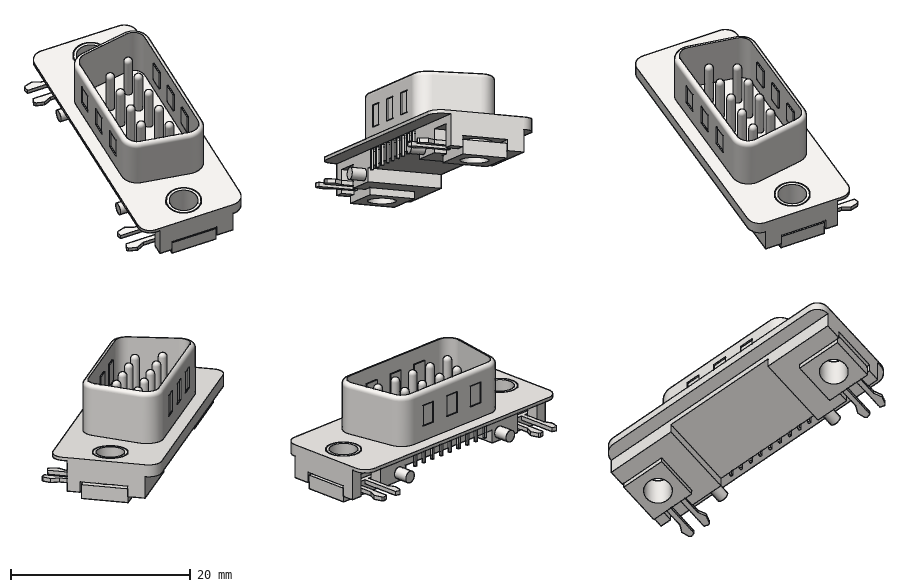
import cadquery as cq
import math


OVERALL_DEPTH = 13.8
OVERALL_HEIGHT = 10.8

FLANGE_LENGTH = 30.8
FLANGE_DEPTH = 12.5
FLANGE_THICKNESS = 0.4
FLANGE_CORNER_RADIUS = 1.5
REAR_LIP_HEIGHT = 1.42

BLOCK_REAR_Y = FLANGE_DEPTH / 2 - FLANGE_CORNER_RADIUS
BLOCK_FRONT_Y = -4.22
BLOCK_END_BOTTOM_Z = -4.0
BLOCK_MIDDLE_BOTTOM_Z = -2.43
BLOCK_GAP_HALF_WIDTH = 6.9

SHROUD_HEIGHT = 6.0
SHROUD_DEPTH = 9.45
SHROUD_CORNER_RADIUS = 1.95
SHROUD_REAR_FLAT = 14.2
SHROUD_WALL = 0.55
SHROUD_RIM_FILLET = SHROUD_WALL
SHROUD_SIDE_ANGLE = 10.0

DIMPLE_WIDTH = 1.65
DIMPLE_BOTTOM_Z = 1.75
DIMPLE_HEIGHT = 2.5
DIMPLE_COUNT = 3
DIMPLE_PITCH = 3.8
DIMPLE_DEPTH = 0.15

MOUNT_OFFSET_X = 12.5
BORE_DIAMETER = 3.2
BUSHING_DIAMETER = 3.85
COLLAR_DIAMETER = 4.0

LOCK_WIDTH = 5.4
LOCK_REAR_Y = 2.75
LOCK_FRONT_Y = -2.65
LOCK_TOP_Z = -3.15
LOCK_BOTTOM_Z = SHROUD_HEIGHT - OVERALL_HEIGHT
CAVITY_DEPTH = 2 * LOCK_REAR_Y
CAVITY_TOP_Z = -2.75
POCKET_WIDTH = 3.08
POCKET_TOP_Z = -1.3

TINE_THICKNESS = 0.5
TINE_TIP_Y = FLANGE_DEPTH / 2 - OVERALL_DEPTH
TINE_INNER_X = 0.7
TINE_ARM_X = 1.3
TINE_BARB_X = 1.72
TINE_SHOULDER_X = 1.45
TINE_TIP_X = 1.25
TINE_BARB_START_Y = -5.5
TINE_BARB_PEAK_Y = -6.45
TINE_TIP_BEVEL = 0.15

PEG_DIAMETER = 1.4
PEG_OFFSET_X = 8.0
PEG_Z = -3.0
PEG_END_Y = -5.98

PIN_DIAMETER = 1.0
PIN_TOP_Z = 5.3
PIN_PITCH = 2.77
PIN_ROW_OFFSET_Y = 1.42
REAR_ROW_COUNT = 5
FRONT_ROW_COUNT = 4
TAIL_SIZE = 0.28
TAIL_TOP_Z = -0.55
TAIL_BOTTOM_Z = -2.9


def box(x_range, y_range, z_range):
    """Axis-aligned box between the given limits."""
    size = [high - low for low, high in (x_range, y_range, z_range)]
    corner = (x_range[0], y_range[0], z_range[0])
    return cq.Workplane("XY").box(*size, centered=False).translate(corner)


def centred(count, pitch):
    """Positions of `count` items at equal pitch, centred on zero."""
    return [(i - (count - 1) / 2) * pitch for i in range(count)]


def both_ends(feature):
    """A feature at the -X end together with its mirror image at the +X end."""
    return feature.union(feature.mirror("YZ"))


def make_flange():
    """Rounded plate, thickened along its rear edge into a lip."""
    plate = (
        cq.Workplane("XY")
        .rect(FLANGE_LENGTH, FLANGE_DEPTH)
        .extrude(-REAR_LIP_HEIGHT)
        .edges("|Z")
        .fillet(FLANGE_CORNER_RADIUS)
    )
    below_plate = box(
        (-FLANGE_LENGTH / 2, FLANGE_LENGTH / 2),
        (-FLANGE_DEPTH / 2, BLOCK_REAR_Y),
        (-REAR_LIP_HEIGHT, -FLANGE_THICKNESS),
    )
    return plate.cut(below_plate)


def make_block():
    """Insulator block, raised underneath between its two ends."""
    block_y = (BLOCK_FRONT_Y, BLOCK_REAR_Y)
    block = box((-FLANGE_LENGTH / 2, FLANGE_LENGTH / 2), block_y, (BLOCK_END_BOTTOM_Z, 0))
    gap = box(
        (-BLOCK_GAP_HALF_WIDTH, BLOCK_GAP_HALF_WIDTH),
        block_y,
        (BLOCK_END_BOTTOM_Z, BLOCK_MIDDLE_BOTTOM_Z),
    )
    return block.cut(gap)


def d_prism(inset, height):
    """Prism on the shroud's D outline, moved inward by `inset`."""
    radius = SHROUD_CORNER_RADIUS - inset
    slant = math.radians(SHROUD_SIDE_ANGLE)
    centre_y = SHROUD_DEPTH / 2 - SHROUD_CORNER_RADIUS
    rear_x = SHROUD_REAR_FLAT / 2
    front_x = rear_x - 2 * centre_y * math.tan(slant)

    def on_corner(x, y, angle):
        return (x + radius * math.cos(angle), y + radius * math.sin(angle))

    right_angle = math.pi / 2
    rear_middle = (right_angle - slant) / 2
    front_middle = -(right_angle + slant) / 2
    return (
        cq.Workplane("XY")
        .moveTo(-rear_x, centre_y + radius)
        .lineTo(rear_x, centre_y + radius)
        .threePointArc(on_corner(rear_x, centre_y, rear_middle), on_corner(rear_x, centre_y, -slant))
        .lineTo(*on_corner(front_x, -centre_y, -slant))
        .threePointArc(
            on_corner(front_x, -centre_y, front_middle),
            on_corner(front_x, -centre_y, -right_angle),
        )
        .lineTo(-front_x, -centre_y - radius)
        .threePointArc(
            on_corner(-front_x, -centre_y, math.pi - front_middle),
            on_corner(-front_x, -centre_y, math.pi + slant),
        )
        .lineTo(*on_corner(-rear_x, centre_y, math.pi + slant))
        .threePointArc(
            on_corner(-rear_x, centre_y, math.pi - rear_middle),
            (-rear_x, centre_y + radius),
        )
        .close()
        .extrude(height)
    )


def make_shroud():
    """Hollow D shroud with a rounded outer rim and dimpled long walls."""
    shroud = d_prism(0, SHROUD_HEIGHT).faces(">Z").edges().fillet(SHROUD_RIM_FILLET)
    shroud = shroud.cut(d_prism(SHROUD_WALL, SHROUD_HEIGHT))

    outer_y = SHROUD_DEPTH / 2
    inner_y = outer_y - SHROUD_WALL
    dimple_z = (DIMPLE_BOTTOM_Z, DIMPLE_BOTTOM_Z + DIMPLE_HEIGHT)
    for x in centred(DIMPLE_COUNT, DIMPLE_PITCH):
        dimple_x = (x - DIMPLE_WIDTH / 2, x + DIMPLE_WIDTH / 2)
        bump = box(dimple_x, (inner_y - DIMPLE_DEPTH, inner_y), dimple_z)
        recess = box(dimple_x, (outer_y - DIMPLE_DEPTH, outer_y), dimple_z)
        shroud = shroud.union(bump).union(bump.mirror("XZ"))
        shroud = shroud.cut(recess).cut(recess.mirror("XZ"))
    return shroud


def make_lock_space():
    """Cavity for one board lock, open outward, below and through a front pocket."""
    cavity = box(
        (-FLANGE_LENGTH / 2, -MOUNT_OFFSET_X + LOCK_WIDTH / 2),
        (-CAVITY_DEPTH / 2, CAVITY_DEPTH / 2),
        (BLOCK_END_BOTTOM_Z, CAVITY_TOP_Z),
    )
    pocket = box(
        (-MOUNT_OFFSET_X - POCKET_WIDTH / 2, -MOUNT_OFFSET_X + POCKET_WIDTH / 2),
        (BLOCK_FRONT_Y, -CAVITY_DEPTH / 2),
        (BLOCK_END_BOTTOM_Z, POCKET_TOP_Z),
    )
    return cavity.union(pocket)


def make_tine():
    """Barbed tine on the +X side of a board lock that is centred on X = 0."""
    return (
        cq.Workplane("XY", origin=(0, 0, LOCK_TOP_Z))
        .polyline(
            [
                (TINE_INNER_X, LOCK_FRONT_Y),
                (TINE_ARM_X, LOCK_FRONT_Y),
                (TINE_ARM_X, TINE_BARB_START_Y),
                (TINE_BARB_X, TINE_BARB_PEAK_Y),
                (TINE_SHOULDER_X, TINE_TIP_Y + TINE_TIP_BEVEL),
                (TINE_TIP_X, TINE_TIP_Y),
                (TINE_INNER_X, TINE_TIP_Y + TINE_TIP_BEVEL),
            ]
        )
        .close()
        .extrude(-TINE_THICKNESS)
    )


def make_lock():
    """Board lock: base, round collar above it and two tines, at the -X mount."""
    base = box(
        (-LOCK_WIDTH / 2, LOCK_WIDTH / 2),
        (LOCK_FRONT_Y, LOCK_REAR_Y),
        (LOCK_BOTTOM_Z, LOCK_TOP_Z),
    )
    collar = (
        cq.Workplane("XY", origin=(0, 0, LOCK_TOP_Z))
        .circle(COLLAR_DIAMETER / 2)
        .extrude(CAVITY_TOP_Z - LOCK_TOP_Z)
    )
    tine = make_tine()
    lock = base.union(collar).union(tine).union(tine.mirror("YZ"))
    return lock.translate((-MOUNT_OFFSET_X, 0, 0))


def make_mount_holes():
    """Bore through one mount, with the ring groove between its bushing and the flange."""
    bore = cq.Workplane("XY").circle(BORE_DIAMETER / 2).extrude(LOCK_BOTTOM_Z)
    groove = (
        cq.Workplane("XY")
        .circle(COLLAR_DIAMETER / 2)
        .circle(BUSHING_DIAMETER / 2)
        .extrude(-FLANGE_THICKNESS)
    )
    return bore.union(groove).translate((-MOUNT_OFFSET_X, 0, 0))


def make_peg():
    """Round locating peg on the front of the block, on the -X side."""
    return (
        cq.Workplane("XZ", origin=(-PEG_OFFSET_X, BLOCK_FRONT_Y, PEG_Z))
        .circle(PEG_DIAMETER / 2)
        .extrude(BLOCK_FRONT_Y - PEG_END_Y)
    )


def make_contact(x, y):
    """Round-ended pin whose square leg runs forward and turns down as a solder tail."""
    leg_bottom_z = TAIL_TOP_Z - TAIL_SIZE
    tail_x = (x - TAIL_SIZE / 2, x + TAIL_SIZE / 2)
    tail_front_y = BLOCK_FRONT_Y - TAIL_SIZE
    pin = (
        cq.Workplane("XY", origin=(x, y, leg_bottom_z))
        .circle(PIN_DIAMETER / 2)
        .extrude(PIN_TOP_Z - PIN_DIAMETER / 2 - leg_bottom_z)
    )
    tip = cq.Workplane("XY", origin=(x, y, PIN_TOP_Z - PIN_DIAMETER / 2)).sphere(PIN_DIAMETER / 2)
    leg = box(tail_x, (tail_front_y, y), (leg_bottom_z, TAIL_TOP_Z))
    tail = box(tail_x, (tail_front_y, BLOCK_FRONT_Y), (TAIL_BOTTOM_Z, TAIL_TOP_Z))
    return pin.union(tip).union(leg).union(tail)


def make_housing(contacts):
    """Flange, block, shroud, board locks and pegs, with a passage for every contact."""
    housing = make_flange().union(make_block()).union(make_shroud())
    housing = housing.cut(both_ends(make_lock_space())).union(both_ends(make_lock()))
    housing = housing.cut(both_ends(make_mount_holes())).union(both_ends(make_peg()))
    for contact in contacts:
        housing = housing.cut(contact)
    return housing


contact_places = [(x, PIN_ROW_OFFSET_Y) for x in centred(REAR_ROW_COUNT, PIN_PITCH)]
contact_places += [(x, -PIN_ROW_OFFSET_Y) for x in centred(FRONT_ROW_COUNT, PIN_PITCH)]
contacts = [make_contact(x, y) for x, y in contact_places]
housing = make_housing(contacts)

bodies = [body.solids().val() for body in (housing, *contacts)]
result = cq.Compound.makeCompound(bodies)